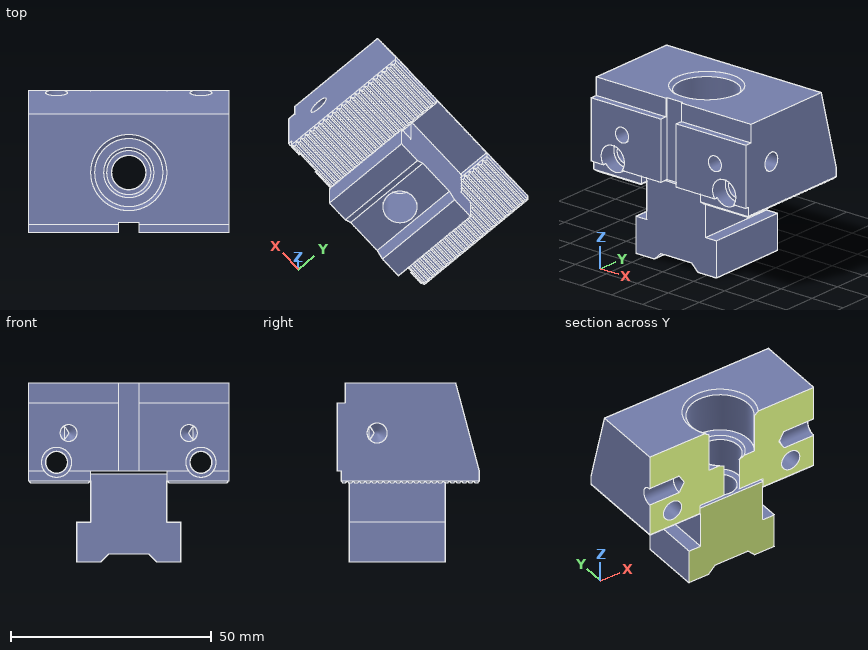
import cadquery as cq
import math


jaw_width = 50.0
jaw_height = 25.0
jaw_front = -15.0
jaw_back = 20.5
upper_step_depth = 2.0
upper_step_height = 5.0
lower_step_depth = 1.0
guide_height = 3.0
back_slope_angle = 15.0
back_slope_drop = 22.0
back_slope_run = back_slope_drop * math.tan(math.radians(back_slope_angle))

center_slot_width = 5.0
center_slot_depth = 2.5

groove_pitch = 1.5
groove_depth = 0.5
groove_width = 1.0
foot_chamfer = 0.6

bore_diameter = 17.0
bore_depth = 12.0
bore_chamfer = 1.0
screw_hole_diameter = 11.0
screw_hole_chamfer = 0.75

drill_point_angle = 118.0
bolt_hole_diameter = 5.4
bolt_head_diameter = 7.5
bolt_head_depth = 5.0
bolt_x = 18.0
bolt_z = -19.8
drilled_z = -12.5
front_hole_diameter = 4.2
front_hole_x = 15.0
front_hole_depth = 8.0
side_hole_diameter = 5.0
side_hole_y = -5.0
side_hole_depth = 9.0

neck_width = 19.0
nut_length = 24.0
nut_height = 22.0
flange_width = 26.0
flange_height = 10.0
nut_bottom = -44.7
nut_notch_width = 14.0
nut_notch_depth = 2.0
nut_hole_diameter = 8.5

jaw_bottom = -jaw_height
guide_roof = jaw_bottom + guide_height


def box_between(x_range, y_range, z_range):
    """Axis-aligned box given by its limits along X, Y and Z."""
    lows, highs = zip(x_range, y_range, z_range)
    size = [high - low for low, high in zip(lows, highs)]
    return cq.Workplane("XY").box(*size, centered=False).translate(lows)


def cylinder(start, direction, diameter, length):
    return cq.Workplane(
        cq.Solid.makeCylinder(diameter / 2, length, cq.Vector(*start), cq.Vector(*direction))
    )


def drilled_hole(start, direction, diameter, depth):
    """Blind hole whose full diameter reaches `depth`, ending in a drill point."""
    radius = diameter / 2
    point_height = radius / math.tan(math.radians(drill_point_angle / 2))
    axis = cq.Vector(*direction)
    point_base = cq.Vector(*start) + axis * depth
    point = cq.Solid.makeCone(radius, 0, point_height, point_base, axis)
    return cylinder(start, direction, diameter, depth).union(cq.Workplane(point))


def countersink(top_z, hole_diameter, chamfer):
    """45 degree chamfer cutter for a vertical hole on the main axis."""
    radius = hole_diameter / 2
    cone = cq.Solid.makeCone(
        radius + chamfer, radius, chamfer, cq.Vector(0, 0, top_z), cq.Vector(0, 0, -1)
    )
    return cq.Workplane(cone)


def jaw_block():
    """Side profile drawn in the YZ plane and extruded over the jaw width."""
    profile = [
        (jaw_front + lower_step_depth, jaw_bottom),
        (jaw_back, jaw_bottom),
        (jaw_back, -back_slope_drop),
        (jaw_back - back_slope_run, 0),
        (jaw_front + upper_step_depth, 0),
        (jaw_front + upper_step_depth, -upper_step_height),
        (jaw_front, -upper_step_height),
        (jaw_front, guide_roof),
        (jaw_front + lower_step_depth, guide_roof),
    ]
    block = cq.Workplane("YZ").polyline(profile).close().extrude(jaw_width / 2, both=True)
    guide = box_between(
        (-neck_width / 2, neck_width / 2), (jaw_front, jaw_back), (jaw_bottom, guide_roof)
    )
    center_slot = box_between(
        (-center_slot_width / 2, center_slot_width / 2),
        (jaw_front, jaw_front + center_slot_depth),
        (guide_roof, 0),
    )
    block = block.cut(guide).cut(center_slot)
    return block.faces("<Z").edges("|Y").chamfer(foot_chamfer)


def serration_grooves():
    """V-grooves along X over the whole foot, with half a groove on its front and back edges."""
    foot_depth = jaw_back - jaw_front - lower_step_depth
    count = round(foot_depth / groove_pitch) + 1
    grooves = cq.Workplane("YZ")
    for i in range(count):
        y = jaw_back - i * groove_pitch
        grooves = (
            grooves.moveTo(y - groove_width / 2, jaw_bottom)
            .lineTo(y + groove_width / 2, jaw_bottom)
            .lineTo(y, jaw_bottom + groove_depth)
            .close()
        )
    return grooves.extrude(jaw_width / 2, both=True)


def cut_main_bore(body):
    body = body.cut(cylinder((0, 0, 0), (0, 0, -1), bore_diameter, bore_depth))
    body = body.cut(countersink(0, bore_diameter, bore_chamfer))
    body = body.cut(cylinder((0, 0, 0), (0, 0, -1), screw_hole_diameter, jaw_height))
    return body.cut(countersink(-bore_depth, screw_hole_diameter, screw_hole_chamfer))


def cut_side_features(body, side):
    """Counterbored bolt hole, front hole and side hole; side is -1 or 1 along X."""
    bolt_start = (side * bolt_x, jaw_front, bolt_z)
    body = body.cut(cylinder(bolt_start, (0, 1, 0), bolt_hole_diameter, jaw_back - jaw_front))
    body = body.cut(cylinder(bolt_start, (0, 1, 0), bolt_head_diameter, bolt_head_depth))
    front_start = (side * front_hole_x, jaw_front, drilled_z)
    body = body.cut(drilled_hole(front_start, (0, 1, 0), front_hole_diameter, front_hole_depth))
    side_start = (side * jaw_width / 2, side_hole_y, drilled_z)
    return body.cut(drilled_hole(side_start, (-side, 0, 0), side_hole_diameter, side_hole_depth))


def make_jaw():
    body = jaw_block().cut(serration_grooves())
    body = cut_main_bore(body)
    for side in (-1, 1):
        body = cut_side_features(body, side)
    return body


def make_t_nut():
    """T-shaped nut with a chamfered clearance notch underneath and a vertical screw hole."""
    length_range = (-nut_length / 2, nut_length / 2)
    nut_top = nut_bottom + nut_height
    flange = box_between(
        (-flange_width / 2, flange_width / 2), length_range, (nut_bottom, nut_bottom + flange_height)
    )
    neck = box_between((-neck_width / 2, neck_width / 2), length_range, (nut_bottom, nut_top))
    notch_half = nut_notch_width / 2
    notch_roof = nut_bottom + nut_notch_depth
    notch = (
        cq.Workplane("XZ")
        .polyline([
            (-notch_half, nut_bottom),
            (notch_half, nut_bottom),
            (notch_half - nut_notch_depth, notch_roof),
            (-notch_half + nut_notch_depth, notch_roof),
        ])
        .close()
        .extrude(nut_length / 2, both=True)
    )
    screw_hole = cylinder((0, 0, nut_top), (0, 0, -1), nut_hole_diameter, nut_height)
    return flange.union(neck).cut(notch).cut(screw_hole)


jaw = make_jaw()
t_nut = make_t_nut()

result = cq.Compound.makeCompound([jaw.val(), t_nut.val()])